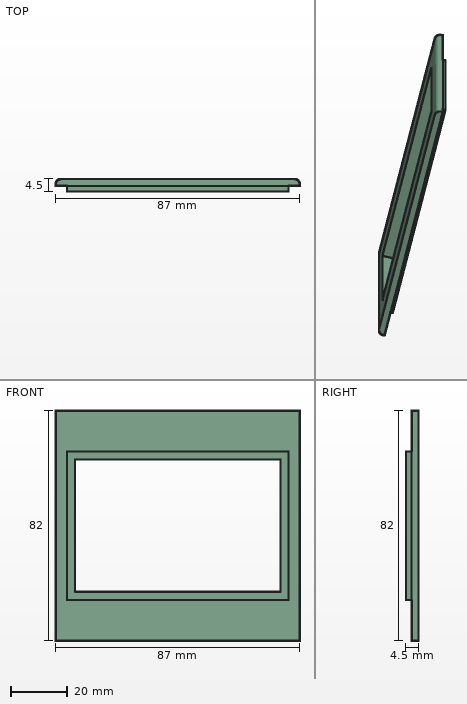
import cadquery as cq

plate_width = 87.0
plate_height = 82.0
plate_thickness = 2.5
edge_radius = 2.0

rim_wall = 3.0
rim_depth = 2.0

window_width = 73.0
window_height = 47.0

rim_width = window_width + 2 * rim_wall
rim_height = window_height + 2 * rim_wall
total_depth = plate_thickness + rim_depth


def centered_block(width, height, y_front, depth):
    """Block centered on X and Z, running from y_front towards +Y."""
    return cq.Workplane("XY").box(width, depth, height).translate((0, y_front + depth / 2, 0))


def rounded_plate():
    """Plate with its -Y face on Y = 0 and its +Y upright edges rounded."""
    plate = centered_block(plate_width, plate_height, 0, plate_thickness)
    return plate.faces(">Y").edges("|Z").fillet(edge_radius)


rim = centered_block(rim_width, rim_height, -rim_depth, rim_depth)
window = centered_block(window_width, window_height, -rim_depth, total_depth)

result = rounded_plate().union(rim).cut(window)